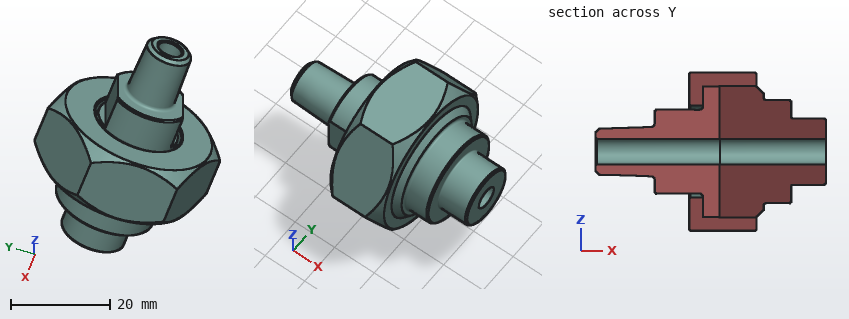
import cadquery as cq
import math


length = 46.5
nipple_shoulder_x = 11.9
nut_start_x = 18.9
nut_width = 13.62
nut_end_x = nut_start_x + nut_width
flat_end_x = 19.15
lip_thickness = 2.8
lip_inner_x = nut_start_x + lip_thickness
joint_x = 25.1
cone_end_x = 33.95
spigot_shoulder_x = 39.52

bore_dia = 5.0
bore_chamfer = 0.3

tip_dia = 9.45
tip_chamfer = 0.8
taper_root_dia = 10.1
taper_fillet = 0.7
neck_dia = 17.0
neck_chamfer = 0.33
neck_across_flats = 14.0
collar_fillet = 0.75

nut_across_flats = 32.0
nut_across_corners = nut_across_flats / math.cos(math.pi / 6)
nut_face_dia = 31.45
lip_dia = 18.5
lip_chamfer = 0.3
nut_bore_dia = 26.4

cone_end_dia = 23.5
collar_dia = 20.92
spigot_dia = 13.5
collar_root_fillet = 0.5
spigot_root_fillet = 0.33
spigot_chamfer = 0.33


def revolve_about_x(profile):
    """Turn a closed profile, drawn as (x, radius), about the X axis."""
    return profile.close().revolve(360, (0, 0, 0), (1, 0, 0))


def root_fillet_middle(shoulder_x, shaft_radius, fillet, side):
    """Middle of the concave arc at a shoulder; side is the X direction (-1 or +1) of the shaft."""
    inset = fillet * (1 - math.sqrt(0.5))
    return (shoulder_x + side * inset, shaft_radius + inset)


def make_nipple():
    bore = bore_dia / 2
    tip = tip_dia / 2
    root = taper_root_dia / 2
    neck = neck_dia / 2
    profile = (
        cq.Workplane("XY")
        .moveTo(0, bore + bore_chamfer)
        .lineTo(0, tip - tip_chamfer)
        .lineTo(tip_chamfer, tip)
        .lineTo(nipple_shoulder_x - taper_fillet, root)
        .threePointArc(
            root_fillet_middle(nipple_shoulder_x, root, taper_fillet, -1),
            (nipple_shoulder_x, root + taper_fillet),
        )
        .lineTo(nipple_shoulder_x, neck - neck_chamfer)
        .lineTo(nipple_shoulder_x + neck_chamfer, neck)
        .lineTo(lip_inner_x - collar_fillet, neck)
        .threePointArc(
            root_fillet_middle(lip_inner_x, neck, collar_fillet, -1),
            (lip_inner_x, neck + collar_fillet),
        )
        .lineTo(lip_inner_x, nut_bore_dia / 2)
        .lineTo(joint_x, nut_bore_dia / 2)
        .lineTo(joint_x, bore)
        .lineTo(bore_chamfer, bore)
    )
    return cut_wrench_flats(revolve_about_x(profile))


def cut_wrench_flats(nipple):
    flat_length = flat_end_x - nipple_shoulder_x
    cutter_depth = neck_dia / 2
    for side in (-1, 1):
        cutter = cq.Workplane("XY").box(flat_length, cutter_depth, neck_dia, centered=(False, True, True))
        cutter_y = side * (neck_across_flats + cutter_depth) / 2
        nipple = nipple.cut(cutter.translate((nipple_shoulder_x, cutter_y, 0)))
    return nipple


def make_nut():
    hexagon = (
        cq.Workplane("YZ")
        .workplane(offset=nut_start_x)
        .polygon(6, nut_across_corners)
        .extrude(nut_width)
    )
    return hexagon.intersect(make_corner_envelope()).cut(make_nut_opening())


def make_corner_envelope():
    """Cylinder with 45 degree ends that bevels the hexagon corners."""
    corner = nut_across_corners / 2
    face = nut_face_dia / 2
    bevel = corner - face
    return revolve_about_x(
        cq.Workplane("XY")
        .moveTo(nut_start_x, 0)
        .lineTo(nut_start_x, face)
        .lineTo(nut_start_x + bevel, corner)
        .lineTo(nut_end_x - bevel, corner)
        .lineTo(nut_end_x, face)
        .lineTo(nut_end_x, 0)
    )


def make_nut_opening():
    lip = lip_dia / 2
    return revolve_about_x(
        cq.Workplane("XY")
        .moveTo(nut_start_x, 0)
        .lineTo(nut_start_x, lip + lip_chamfer)
        .lineTo(nut_start_x + lip_chamfer, lip)
        .lineTo(lip_inner_x, lip)
        .lineTo(lip_inner_x, nut_bore_dia / 2)
        .lineTo(nut_end_x, nut_bore_dia / 2)
        .lineTo(nut_end_x, 0)
    )


def make_spigot():
    bore = bore_dia / 2
    collar = collar_dia / 2
    tube = spigot_dia / 2
    profile = (
        cq.Workplane("XY")
        .moveTo(joint_x, bore)
        .lineTo(joint_x, nut_bore_dia / 2)
        .lineTo(nut_end_x, nut_bore_dia / 2)
        .lineTo(cone_end_x, cone_end_dia / 2)
        .lineTo(cone_end_x, collar + collar_root_fillet)
        .threePointArc(
            root_fillet_middle(cone_end_x, collar, collar_root_fillet, 1),
            (cone_end_x + collar_root_fillet, collar),
        )
        .lineTo(spigot_shoulder_x - spigot_chamfer, collar)
        .lineTo(spigot_shoulder_x, collar - spigot_chamfer)
        .lineTo(spigot_shoulder_x, tube + spigot_root_fillet)
        .threePointArc(
            root_fillet_middle(spigot_shoulder_x, tube, spigot_root_fillet, 1),
            (spigot_shoulder_x + spigot_root_fillet, tube),
        )
        .lineTo(length - spigot_chamfer, tube)
        .lineTo(length, tube - spigot_chamfer)
        .lineTo(length, bore)
    )
    return revolve_about_x(profile)


nipple = make_nipple()
nut = make_nut()
spigot = make_spigot()

result = cq.Compound.makeCompound([nipple.val(), nut.val(), spigot.val()])